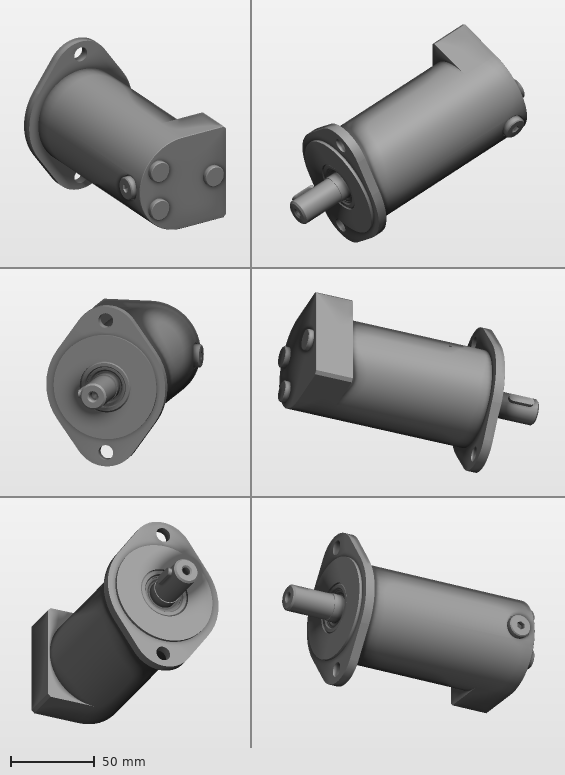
import cadquery as cq
import math


shoulder_x = 27.6
pilot_x = 31.4
flange_x = 33.2
flange_thickness = 5.7
shaft_end_x = 49.7
cover_x = 128.6
barrel_end_x = 152.0
overall_length = 155.3

barrel_radius = 60.0 / 2
pilot_radius = 63.0 / 2
flange_radius = 73.0 / 2
flange_half_height = 96.9 / 2
ear_radius = 20.0
mount_hole_diameter = 9.0
mount_hole_z = 40.0
block_y = 31.2
block_chamfer = 1.9
cover_chamfer = 0.3

seal_recess_radius = 15.5
seal_chamfer = 1.0
seal_recess = 0.5
seat_radius = 12.6
seat_taper = 0.6
seat_depth = 1.1
seat_step_radius = 11.3
seat_step_depth = 0.5
lip_outer_radius = 10.2
lip_inner_radius = 9.3
lip_depth = 0.8

vent_diameter = 2.0
vent_depth = 1.5
vent_x = 64.1
vent_angle = 60.0

shaft_radius = 16.0 / 2
shoulder_radius = 17.0 / 2
shaft_chamfer = 1.1
center_hole_diameter = 5.0
center_hole_depth = 7.8
center_hole_chamfer = 1.0
drill_point_angle = 118.0
key_start_x = 4.2
key_length = 16.0
key_width = 5.0
key_height = 5.0
key_top_y = 10.1

plug_x = 140.7
plug_radius = 14.0 / 2
plug_chamfer = 0.6
plug_top_y = -33.0
spotface_radius = 15.5 / 2
spotface_y = -28.7
plug_socket_flats = 4.7
plug_socket_depth = 3.1

screw_radius = 13.0 / 2
screw_chamfer = 0.5
screw_circle_radius = 21.3
screw_pitch = 360 / 5
screw_places = [0, 2, 3]


def axial_cylinder(radius, start_x, end_x):
    return cq.Workplane("YZ", origin=(start_x, 0, 0)).circle(radius).extrude(end_x - start_x)


def revolve_about_x(points):
    """Revolve a closed (x, radius) outline about the X axis."""
    return cq.Workplane("XY").polyline(points).close().revolve(360, (0, 0, 0), (1, 0, 0))


def make_flange():
    """Oval plate: central disc and two ears joined by common tangents."""
    ear_z = flange_half_height - ear_radius
    tangent_sin = (flange_radius - ear_radius) / ear_z
    tangent_cos = math.sqrt(1 - tangent_sin**2)
    disc_y = flange_radius * tangent_cos
    disc_z = flange_radius * tangent_sin
    ear_y = ear_radius * tangent_cos
    ear_tangent_z = ear_z + ear_radius * tangent_sin
    plate = (
        cq.Workplane("YZ", origin=(flange_x, 0, 0))
        .moveTo(disc_y, -disc_z)
        .threePointArc((flange_radius, 0), (disc_y, disc_z))
        .lineTo(ear_y, ear_tangent_z)
        .threePointArc((0, flange_half_height), (-ear_y, ear_tangent_z))
        .lineTo(-disc_y, disc_z)
        .threePointArc((-flange_radius, 0), (-disc_y, -disc_z))
        .lineTo(-ear_y, -ear_tangent_z)
        .threePointArc((0, -flange_half_height), (ear_y, -ear_tangent_z))
        .close()
        .extrude(flange_thickness)
    )
    holes = (
        cq.Workplane("YZ", origin=(flange_x, 0, 0))
        .pushPoints([(0, mount_hole_z), (0, -mount_hole_z)])
        .circle(mount_hole_diameter / 2)
        .extrude(flange_thickness)
    )
    return plate.cut(holes)


def make_cover():
    """Rear cover: a half-round side and a square port block on the +Y side."""
    return (
        cq.Workplane("YZ", origin=(cover_x, 0, 0))
        .moveTo(0, barrel_radius)
        .threePointArc((-barrel_radius, 0), (0, -barrel_radius))
        .lineTo(block_y - block_chamfer, -barrel_radius)
        .lineTo(block_y, -barrel_radius + block_chamfer)
        .lineTo(block_y, barrel_radius - block_chamfer)
        .lineTo(block_y - block_chamfer, barrel_radius)
        .close()
        .extrude(barrel_end_x - cover_x)
        .faces(">X")
        .chamfer(cover_chamfer)
    )


def make_seal_recess():
    """Shallow recess down to the seal face, deeper where the seal's outer edge is chamfered."""
    seal_x = pilot_x + seal_recess
    return revolve_about_x([
        (pilot_x, 0),
        (pilot_x, seal_recess_radius),
        (seal_x + seal_chamfer, seal_recess_radius),
        (seal_x, seal_recess_radius - seal_chamfer),
        (seal_x, 0),
    ])


def make_shaft_bore():
    """Tapered seal seat, a step, the lip and the bore that holds the shaft."""
    seal_x = pilot_x + seal_recess
    seat_x = seal_x + seat_depth
    step_x = seat_x + seat_step_depth
    lip_x = step_x + lip_depth
    return revolve_about_x([
        (seal_x, 0),
        (seal_x, seat_radius),
        (seat_x, seat_radius - seat_taper),
        (seat_x, seat_step_radius),
        (step_x, seat_step_radius),
        (step_x, lip_outer_radius),
        (lip_x, lip_inner_radius),
        (lip_x, shoulder_radius),
        (shaft_end_x, shoulder_radius),
        (shaft_end_x, 0),
    ])


def make_vent_hole():
    hole = cq.Workplane("XY", origin=(vent_x, 0, barrel_radius - vent_depth)).circle(vent_diameter / 2)
    return hole.extrude(2 * vent_depth).rotate((0, 0, 0), (1, 0, 0), -vent_angle)


def make_plug_spotface():
    spotface = cq.Workplane("XZ", origin=(plug_x, spotface_y, 0)).circle(spotface_radius)
    return spotface.extrude(barrel_radius + spotface_y)


def make_housing():
    body = axial_cylinder(pilot_radius, pilot_x, flange_x)
    body = body.union(make_flange())
    body = body.union(axial_cylinder(barrel_radius, flange_x, cover_x))
    body = body.union(make_cover())
    body = body.cut(make_seal_recess())
    body = body.cut(make_shaft_bore())
    body = body.cut(make_vent_hole())
    return body.cut(make_plug_spotface())


def make_key():
    """Round-ended parallel key on the +Y side of the shaft."""
    center_x = key_start_x + key_length / 2
    return (
        cq.Workplane("XZ", origin=(center_x, key_top_y, 0))
        .slot2D(key_length, key_width)
        .extrude(key_height)
    )


def make_shaft():
    hole_radius = center_hole_diameter / 2
    drill_tip = hole_radius / math.tan(math.radians(drill_point_angle / 2))
    blank = revolve_about_x([
        (center_hole_depth + drill_tip, 0),
        (center_hole_depth, hole_radius),
        (center_hole_chamfer, hole_radius),
        (0, hole_radius + center_hole_chamfer),
        (0, shaft_radius - shaft_chamfer),
        (shaft_chamfer, shaft_radius),
        (shoulder_x, shaft_radius),
        (shoulder_x, shoulder_radius),
        (shaft_end_x, shoulder_radius),
        (shaft_end_x, 0),
    ])
    return blank.cut(make_key())


def make_plug():
    """Plug head seated in the cover spotface, with a hexagon socket."""
    head = (
        cq.Workplane("XZ", origin=(plug_x, spotface_y, 0))
        .circle(plug_radius)
        .extrude(spotface_y - plug_top_y)
        .faces("<Y")
        .chamfer(plug_chamfer)
    )
    socket = (
        cq.Workplane("XZ", origin=(plug_x, plug_top_y, 0))
        .polygon(6, plug_socket_flats, circumscribed=True)
        .extrude(-plug_socket_depth)
    )
    return head.cut(socket)


def make_screw(place):
    """Screw head on the rear face at one of the places on the screw circle."""
    angle = math.radians(place * screw_pitch)
    y = screw_circle_radius * math.cos(angle)
    z = screw_circle_radius * math.sin(angle)
    return (
        cq.Workplane("YZ", origin=(barrel_end_x, y, z))
        .circle(screw_radius)
        .extrude(overall_length - barrel_end_x)
        .faces(">X")
        .chamfer(screw_chamfer)
    )


housing = make_housing()
shaft = make_shaft()
key = make_key()
plug = make_plug()
screws = [make_screw(place) for place in screw_places]

result = cq.Compound.makeCompound([
    housing.val(),
    shaft.val(),
    key.val(),
    plug.val(),
    *[screw.val() for screw in screws],
])